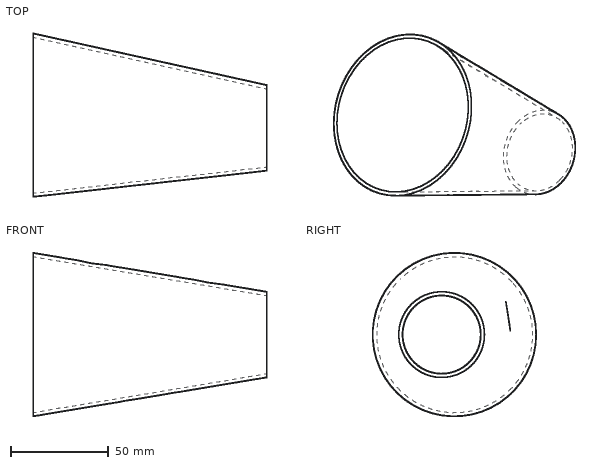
import cadquery as cq

length = 120.0
wide_outer_diameter = 84.0
narrow_outer_diameter = 44.0
wall = 2.0
narrow_end_offset_y = -6.55


def eccentric_cone(wide_diameter, narrow_diameter):
    """Solid ruled between two parallel circles whose centres are offset along Y."""
    return (
        cq.Workplane("YZ")
        .circle(wide_diameter / 2)
        .workplane(offset=length)
        .center(narrow_end_offset_y, 0)
        .circle(narrow_diameter / 2)
        .loft(ruled=True)
    )


outer_body = eccentric_cone(wide_outer_diameter, narrow_outer_diameter)
bore = eccentric_cone(wide_outer_diameter - 2 * wall, narrow_outer_diameter - 2 * wall)

result = outer_body.cut(bore)